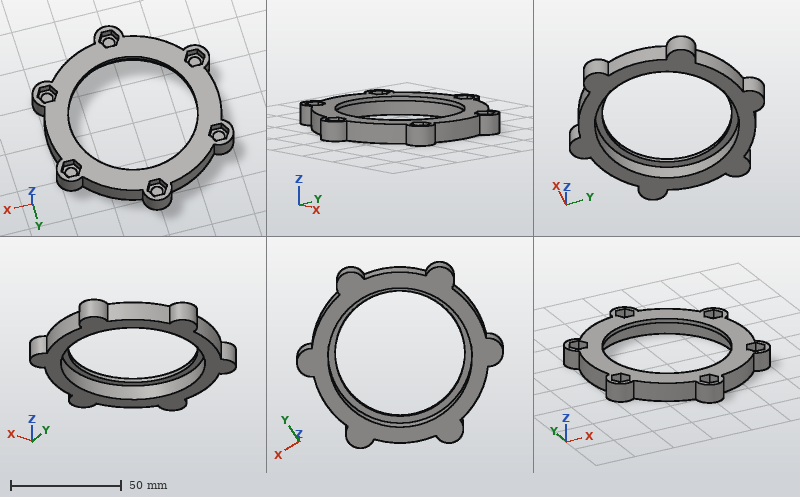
import cadquery as cq

thickness = 9.0
overall_length = 93.2
bolt_circle_radius = 40.0
ring_radius = bolt_circle_radius
opening_diameter = 58.5
recess_diameter = 65.0
lip_thickness = 2.0
recess_depth = thickness - lip_thickness

lobe_count = 6
lobe_radius = overall_length / 2 - bolt_circle_radius
first_lobe_angle = 90
hex_across_corners = 9.3
hex_depth = 4.0

dimple_diameter = 5.3
dimple_depth = 0.1


def at_lobes(plane_height):
    """Workplane at the given height with a point on every lobe centre."""
    return (
        cq.Workplane("XY", origin=(0, 0, plane_height))
        .polarArray(bolt_circle_radius, first_lobe_angle, 360, lobe_count, rotate=False)
    )


def make_body():
    ring = cq.Workplane("XY").circle(ring_radius).extrude(thickness)
    lobes = at_lobes(0).circle(lobe_radius).extrude(thickness)
    return ring.union(lobes)


def make_opening():
    """Through opening, widened below a thin lip at the top face."""
    opening = cq.Workplane("XY").circle(opening_diameter / 2).extrude(thickness)
    recess = cq.Workplane("XY").circle(recess_diameter / 2).extrude(recess_depth)
    return opening.union(recess)


def make_nut_pockets():
    """Hexagonal pockets, corners along X, with a dimple in each floor."""
    pockets = at_lobes(thickness).polygon(6, hex_across_corners).extrude(-hex_depth)
    dimples = (
        at_lobes(thickness - hex_depth)
        .circle(dimple_diameter / 2)
        .extrude(-dimple_depth)
    )
    return pockets.union(dimples)


result = make_body().cut(make_opening()).cut(make_nut_pockets())